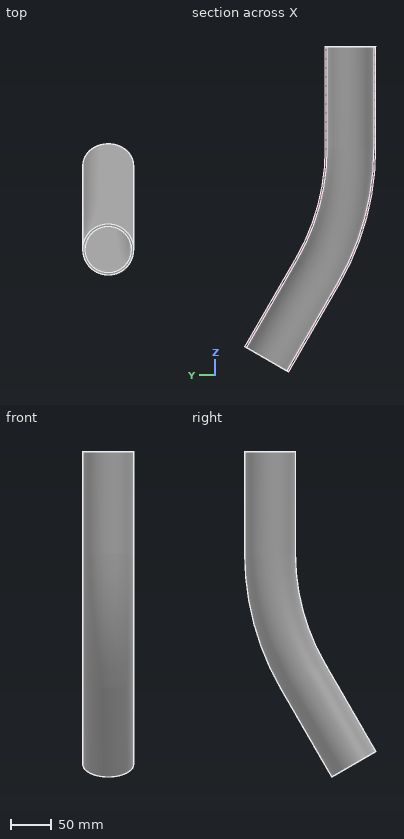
import cadquery as cq
import math

overall_height = 405.3
outer_diameter = 63.5
inner_diameter = 57.5
leg_length = 127.3
bend_angle = 30.0

bend_sin = math.sin(math.radians(bend_angle))
bend_cos = math.cos(math.radians(bend_angle))
legs_height = leg_length * (1 + bend_cos)
rim_drop = outer_diameter / 2 * bend_sin
bend_radius = (overall_height - legs_height - rim_drop) / bend_sin


def bend_point(angle):
    """Centreline point (Y, Z) after turning by angle degrees from the upright leg."""
    turn = math.radians(angle)
    return (
        bend_radius * (1 - math.cos(turn)),
        -leg_length - bend_radius * math.sin(turn),
    )


bend_start = bend_point(0)
bend_middle = bend_point(bend_angle / 2)
bend_end = bend_point(bend_angle)
lower_end = (bend_end[0] + leg_length * bend_sin, bend_end[1] - leg_length * bend_cos)

centreline = (
    cq.Workplane("YZ")
    .moveTo(0, 0)
    .lineTo(*bend_start)
    .threePointArc(bend_middle, bend_end)
    .lineTo(*lower_end)
)

result = (
    cq.Workplane("XY")
    .circle(outer_diameter / 2)
    .circle(inner_diameter / 2)
    .sweep(centreline)
)